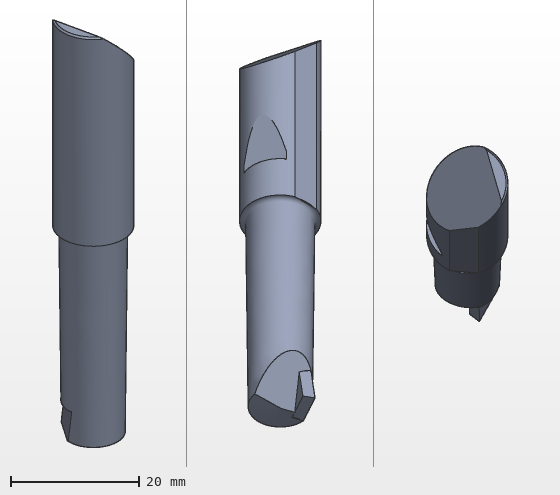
import cadquery as cq
import math

LENGTH = 76.2
SHANK_RADIUS = 6.36
SHANK_BOTTOM = 38.1
SHANK_CHAMFER = 0.3
NECK_TOP_RADIUS = 5.4
NECK_FILLET = 0.8
NECK_BOTTOM_RADIUS = 5.0
NECK_BOTTOM = 0.45

BEVEL_EDGE_Y = -4.35
FLAT_START_ANGLE = 180
FLAT_END_ANGLE = 138.5

NOTCH_DEPTH = 1.2
NOTCH_BOTTOM = 45.5
NOTCH_FLOOR_TOP = 46.9
NOTCH_TOP = 54.8

POCKET_TOP = 6.2
WALL_TOP_DISTANCE = 4.0
WALL_LEAN = math.radians(4.3)
RELIEF_TOP = 6.85
RELIEF_DIRECTION = (-0.73, 0.42, -0.52)

INSERT_OUTER_BOTTOM = -4.05
INSERT_OUTER_TOP = -3.3
INSERT_INNER_BOTTOM = 1.9
INSERT_INNER_TOP = 2.6
INSERT_BOTTOM = 0.15
INSERT_THICKNESS = 1.9
INSERT_TAPER = 7

CUT_SIZE = 3 * SHANK_RADIUS


def make_body():
    """Shank and tapered neck, turned about Z."""
    return (
        cq.Workplane("XZ")
        .lineTo(NECK_BOTTOM_RADIUS, NECK_BOTTOM)
        .lineTo(NECK_TOP_RADIUS, SHANK_BOTTOM - NECK_FILLET)
        .tangentArcPoint((NECK_TOP_RADIUS + NECK_FILLET, SHANK_BOTTOM), relative=False)
        .lineTo(SHANK_RADIUS, SHANK_BOTTOM)
        .lineTo(SHANK_RADIUS, LENGTH - SHANK_CHAMFER)
        .lineTo(SHANK_RADIUS - SHANK_CHAMFER, LENGTH)
        .lineTo(0, LENGTH)
        .close()
        .revolve(360, (0, 0), (0, 1))
    )


def cut_across_x(points):
    """Cutter with a (Y, Z) outline that passes through the whole width in X."""
    return cq.Workplane("YZ").polyline(points).close().extrude(CUT_SIZE, both=True)


def make_bevel():
    """Everything above the 45 degree plane at the top of the shank."""
    return cut_across_x([
        (BEVEL_EDGE_Y, LENGTH),
        (BEVEL_EDGE_Y + CUT_SIZE, LENGTH - CUT_SIZE),
        (BEVEL_EDGE_Y + CUT_SIZE, LENGTH),
    ])


def make_notch():
    """Ramped clamping notch on the +Y side."""
    floor_y = SHANK_RADIUS - NOTCH_DEPTH
    return cut_across_x([
        (SHANK_RADIUS, NOTCH_BOTTOM),
        (floor_y, NOTCH_BOTTOM),
        (floor_y, NOTCH_FLOOR_TOP),
        (SHANK_RADIUS, NOTCH_TOP),
    ])


def half_space(plane):
    """Large block on the outward side of a plane."""
    return cq.Workplane(plane).rect(CUT_SIZE, CUT_SIZE).extrude(CUT_SIZE)


def make_shank_flat():
    """Block that leaves a flat along the full length of the shank."""
    middle = math.radians((FLAT_START_ANGLE + FLAT_END_ANGLE) / 2)
    half_span = math.radians((FLAT_START_ANGLE - FLAT_END_ANGLE) / 2)
    flat_distance = SHANK_RADIUS * math.cos(half_span)
    return (
        cq.Workplane("XY", origin=(0, 0, SHANK_BOTTOM))
        .transformed(rotate=(0, 0, math.degrees(middle)))
        .center(flat_distance + CUT_SIZE / 2, 0)
        .rect(CUT_SIZE, CUT_SIZE)
        .extrude(LENGTH - SHANK_BOTTOM)
    )


def wall_plane():
    """Plane of the pocket wall, facing -X and -Y, centred on its top edge."""
    offset = WALL_TOP_DISTANCE / math.sqrt(2)
    return cq.Plane(
        origin=(-offset, -offset, POCKET_TOP),
        xDir=(1, -1, 0),
        normal=(-math.cos(WALL_LEAN), -math.cos(WALL_LEAN), math.sqrt(2) * math.sin(WALL_LEAN)),
    )


def make_pocket():
    """Segment of the tip removed in front of the insert, with a flat top."""
    front_block = half_space(wall_plane())
    tip_block = cq.Workplane("XY").circle(CUT_SIZE).extrude(POCKET_TOP)
    return front_block.intersect(tip_block)


def make_insert():
    """Cutting insert: a four-sided plate flush with the wall, narrowing toward its back."""
    height = (POCKET_TOP - INSERT_BOTTOM) / math.cos(WALL_LEAN)
    outline = [
        (INSERT_OUTER_BOTTOM, -height),
        (INSERT_INNER_BOTTOM, -height),
        (INSERT_INNER_TOP, 0),
        (INSERT_OUTER_TOP, 0),
    ]
    return (
        cq.Workplane(wall_plane())
        .polyline(outline)
        .close()
        .extrude(-INSERT_THICKNESS, taper=INSERT_TAPER)
    )


def make_relief():
    """Sloping clearance cut behind the insert."""
    return half_space(cq.Plane(origin=(-NECK_BOTTOM_RADIUS, 0, RELIEF_TOP), normal=RELIEF_DIRECTION))


body = make_body()
body = body.cut(make_bevel()).cut(make_shank_flat()).cut(make_notch()).cut(make_pocket())
body = body.cut(make_relief())
result = body.union(make_insert())